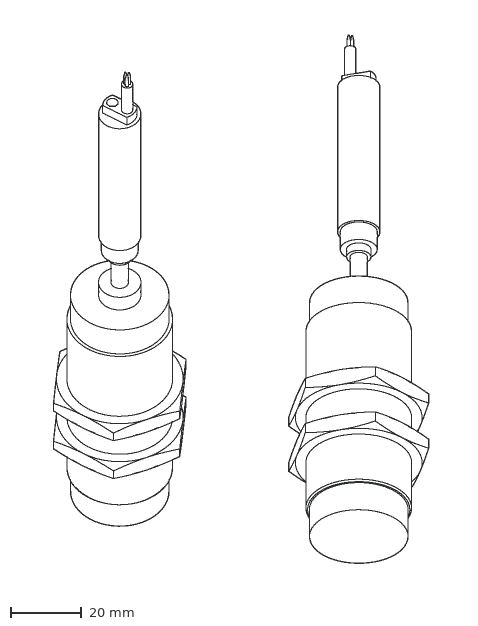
import cadquery as cq
import math

CAP_DIAMETER = 28.0
BODY_DIAMETER = 30.0
BODY_BOTTOM = 9.2
BODY_EDGE_CHAMFER = 0.5
SLEEVE_DIAMETER = 12.0
SLEEVE_TOP = 151.9
ROUND_STEPS = [
    (CAP_DIAMETER, BODY_BOTTOM),
    (BODY_DIAMETER, 69.3),
    (CAP_DIAMETER, 79.0),
    (SLEEVE_DIAMETER, 84.0),
    (5.0, 94.4),
    (7.0, 97.0),
    (10.5, 102.9),
    (SLEEVE_DIAMETER, SLEEVE_TOP),
]

NUT_ACROSS_FLATS = 36.0
NUT_HEIGHT = 5.1
NUT_BOTTOMS = [25.0, 40.2]
NUT_CHAMFER_ANGLE = 20

TAB_DIAMETER = 9.8
TAB_THICKNESS = 5.1
TAB_TOP = 155.0
WIRE_OFFSET = 2.5
WIRE_DIAMETER = 3.2

INSULATION_TOP = 165.3
TOTAL_HEIGHT = 169.5
STRAND_DIAMETER = 1.0
STRAND_TIP_DIAMETER = 0.4
STRAND_SHOULDER = 168.0
STRAND_ANGLES = [60, 180, 300]
STRAND_CIRCLE_RADIUS = STRAND_DIAMETER / math.sqrt(3)


def cylinder(diameter, bottom, top, x=0, y=0):
    disc = cq.Workplane("XY", origin=(x, y, bottom)).circle(diameter / 2)
    return disc.extrude(top - bottom)


def stepped_body():
    body = cq.Workplane("XY")
    bottom = 0
    for diameter, top in ROUND_STEPS:
        step = cylinder(diameter, bottom, top)
        if bottom == BODY_BOTTOM:
            step = step.faces("<Z").chamfer(BODY_EDGE_CHAMFER)
        body = body.union(step)
        bottom = top
    return body


def nut(bottom):
    """Hexagon whose corners are trimmed by a cone at both faces."""
    corner_radius = NUT_ACROSS_FLATS / math.sqrt(3)
    face_radius = NUT_ACROSS_FLATS / 2
    corner_drop = (corner_radius - face_radius) * math.tan(math.radians(NUT_CHAMFER_ANGLE))
    hexagon = cq.Workplane("XY").polygon(6, 2 * corner_radius).extrude(NUT_HEIGHT)
    envelope = (
        cq.Workplane("XZ")
        .moveTo(0, 0)
        .lineTo(face_radius, 0)
        .lineTo(corner_radius, corner_drop)
        .lineTo(corner_radius, NUT_HEIGHT - corner_drop)
        .lineTo(face_radius, NUT_HEIGHT)
        .lineTo(0, NUT_HEIGHT)
        .close()
        .revolve(360, (0, 0, 0), (0, 1, 0))
    )
    return hexagon.intersect(envelope).translate((0, 0, bottom))


def wire_tab():
    """Round-ended tab with an open wire hole on its -X side."""
    slab = (
        cq.Workplane("XY", origin=(0, 0, SLEEVE_TOP))
        .rect(TAB_DIAMETER, TAB_THICKNESS)
        .extrude(TAB_TOP - SLEEVE_TOP)
    )
    tab = slab.intersect(cylinder(TAB_DIAMETER, SLEEVE_TOP, TAB_TOP))
    return tab.cut(cylinder(WIRE_DIAMETER, SLEEVE_TOP, TAB_TOP, -WIRE_OFFSET))


def strand(x, y):
    tip_height = TOTAL_HEIGHT - STRAND_SHOULDER
    tip_taper = math.degrees(math.atan((STRAND_DIAMETER - STRAND_TIP_DIAMETER) / 2 / tip_height))
    tip = (
        cq.Workplane("XY", origin=(x, y, STRAND_SHOULDER))
        .circle(STRAND_DIAMETER / 2)
        .extrude(tip_height, taper=tip_taper)
    )
    return cylinder(STRAND_DIAMETER, SLEEVE_TOP, STRAND_SHOULDER, x, y).union(tip)


def stripped_wire():
    wire = cylinder(WIRE_DIAMETER, SLEEVE_TOP, INSULATION_TOP, WIRE_OFFSET)
    for angle in STRAND_ANGLES:
        x = WIRE_OFFSET + STRAND_CIRCLE_RADIUS * math.cos(math.radians(angle))
        y = STRAND_CIRCLE_RADIUS * math.sin(math.radians(angle))
        wire = wire.union(strand(x, y))
    return wire


result = stepped_body()
for nut_bottom in NUT_BOTTOMS:
    result = result.union(nut(nut_bottom))
result = result.union(wire_tab()).union(stripped_wire())